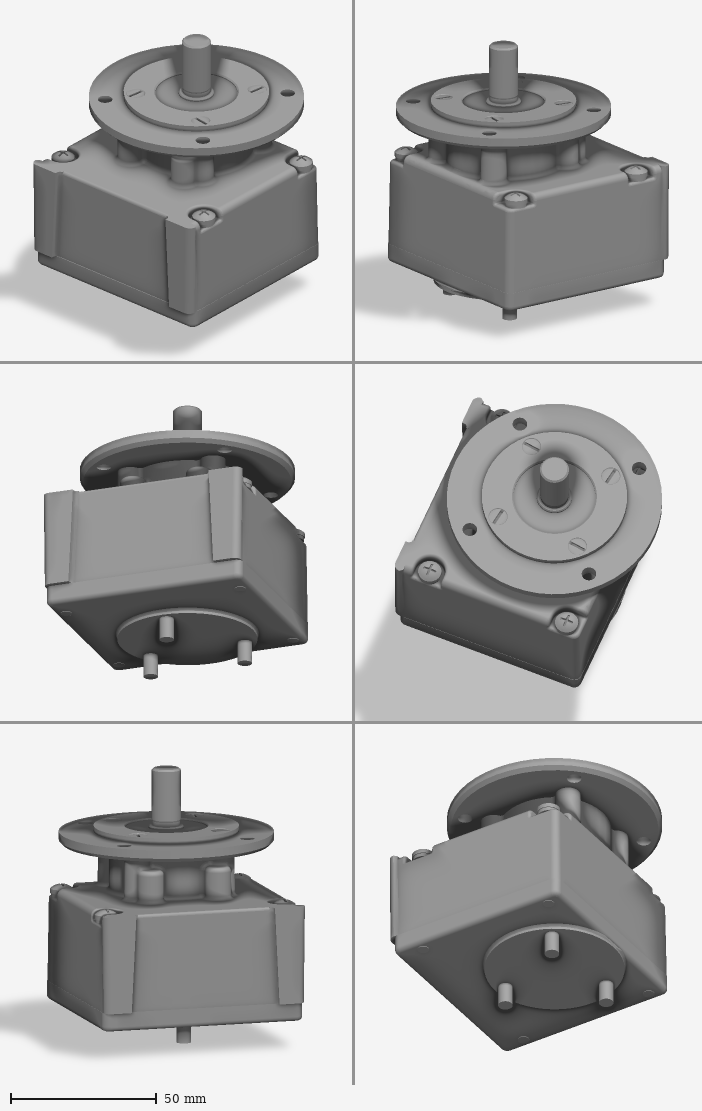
import cadquery as cq
import math

housing_height = 33.7
housing_rear_top = 23.4
housing_front = -42.85
housing_half_width_top = 35.5
parting_step = 0.1
top_round = 2.4
front_top_round = 1.0
corner_radius = 2.5

cover_half_width = 36.0
cover_rear = 24.05
cover_front = -43.1
cover_bottom = -40.3
cover_bottom_round = 1.6

foot_front = -45.0
foot_half_width_top = 36.4
foot_half_width_bottom = 36.0
foot_inner_top = 24.95
foot_inner_bottom = 26.6
foot_rear_top = -41.4
foot_rear_bottom = -40.1
foot_cove_radius = 1.3
foot_embed = 0.05

cover_screw_x = 32.0
cover_screw_rows = (-33.0, 18.0)
pocket_radius = 5.35
pocket_depth = 3.75
pocket_rim_round = 1.0
pocket_floor_round = 0.5
washer_radius = 3.7
washer_top_z = -2.5
pan_head_radius = 4.0
pan_head_rim_z = -1.0
pan_head_top_z = 0.6
cross_length = 4.6
cross_width = 0.8
cross_depth = 1.2
screw_tip_radius = 2.0
screw_tip_height = 0.2

plate_bottom = -42.1
plate_radius = 24.1
plate_root_radius = 24.7
plate_root_height = 0.9
pin_circle_radius = 20.0
pin_radius = 2.5
pin_bottom = -49.79
pin_angles = (30, 150, 270)

neck_core_radius = 19.55
neck_boss_circle_radius = 21.5
neck_boss_radius = 4.35
neck_draft = 0.2
neck_drafted_height = 15.8
neck_corner_round = 1.5
neck_root_round = 1.4
pad_x = 12.1
pad_y = -20.5
pad_radius = 4.5
pad_height = 11.1
pad_top_round = 1.6
pad_side_round = 1.3

flange_radius = 37.0
flange_bottom = 16.3
flange_seat = 20.5
flange_face = 22.5
flange_bevel = 1.3
pilot_radius = 25.0
bore_radius = 16.75
mounting_circle_radius = 31.4
mounting_hole_radius = 2.5

flange_screw_circle_radius = 20.9
slot_screw_head_radius = 3.1
slot_screw_shank_radius = 1.75
slot_screw_length = 12.0
slot_screw_sink = 0.2
slot_width = 1.1
slot_depth = 0.8
slot_tilt = -8.0

seal_recess_radius = 14.1
seal_recess_depth = 0.85
seal_recess_chamfer = 0.5
collar_radius = 6.1
collar_chamfer = 0.4
collar_top = 22.6
shaft_radius = 5.0
shaft_neck_radius = 4.8
shaft_neck_top = 24.1
shaft_neck_taper_top = 24.65
shaft_top = 42.5
shaft_chamfer = 0.6

diagonal_angles = (45, 135, 225, 315)
slot_reference_angle = 135
clear = 50.0
hair = 0.1


def polar(radius, angle):
    return (radius * math.cos(math.radians(angle)), radius * math.sin(math.radians(angle)))


def cylinder(radius, bottom, top, center=(0, 0)):
    return cq.Workplane("XY", origin=(*center, bottom)).circle(radius).extrude(top - bottom)


def cone(bottom_radius, top_radius, height, center=(0, 0), bottom=0):
    base = cq.Vector(*center, bottom)
    return cq.Workplane(obj=cq.Solid.makeCone(bottom_radius, top_radius, height, base))


def block(x0, x1, y0, y1, z0, z1):
    return cq.Workplane("XY").box(x1 - x0, y1 - y0, z1 - z0, centered=False).translate((x0, y0, z0))


def rectangle_wire(half_width, front, rear, z):
    corners = [(-half_width, front), (half_width, front), (half_width, rear), (-half_width, rear)]
    return cq.Wire.makePolygon([cq.Vector(x, y, z) for x, y in corners], close=True)


def make_housing():
    lower = rectangle_wire(
        cover_half_width - parting_step, housing_front, cover_rear - parting_step, -housing_height
    )
    upper = rectangle_wire(housing_half_width_top, housing_front, housing_rear_top, 0)
    housing = cq.Workplane(obj=cq.Solid.makeLoft([lower, upper], True))
    rear_corners = cq.selectors.BoxSelector((-clear, 0, -housing_height + 1), (clear, clear, -1))
    housing = housing.edges(rear_corners).edges("not(#Z)").fillet(corner_radius)
    side_and_rear = cq.selectors.BoxSelector((-clear, housing_front + 1, -hair), (clear, clear, hair))
    housing = housing.edges(side_and_rear).fillet(top_round)
    return housing.faces(">Z").edges("<Y").fillet(front_top_round)


def foot_wire(half_width, root_half_width, inner, rear, z):
    shoulder = foot_front + corner_radius
    arc_mid = corner_radius * (1 - math.sqrt(0.5))
    cove_start = housing_front - foot_cove_radius
    cove_mid = foot_cove_radius * (1 - math.sqrt(0.5))
    outline = (
        cq.Workplane("XY", origin=(0, 0, z))
        .moveTo(inner, foot_front)
        .lineTo(half_width - corner_radius, foot_front)
        .threePointArc((half_width - arc_mid, foot_front + arc_mid), (half_width, shoulder))
        .lineTo(root_half_width, rear)
        .lineTo(inner - foot_cove_radius, rear)
        .lineTo(inner - foot_cove_radius, housing_front)
        .threePointArc((inner - cove_mid, housing_front - cove_mid), (inner, cove_start))
        .close()
    )
    return outline.val()


def make_foot():
    lower_root = cover_half_width - parting_step - foot_embed
    upper_root = housing_half_width_top - foot_embed
    lower = foot_wire(
        foot_half_width_bottom, lower_root, foot_inner_bottom, foot_rear_bottom, -housing_height
    )
    upper = foot_wire(foot_half_width_top, upper_root, foot_inner_top, foot_rear_top, 0)
    return cq.Workplane(obj=cq.Solid.makeLoft([lower, upper], True))


def make_pocket(side, y):
    """Round pocket that runs out through the side wall and, at the rear, the rear wall."""
    x = side * cover_screw_x
    beyond = 2 * pocket_radius
    pocket = cylinder(pocket_radius, -pocket_depth, beyond, (x, y))
    outer_x = side * (cover_screw_x + beyond)
    pocket = pocket.union(
        block(min(x, outer_x), max(x, outer_x), y - pocket_radius, y + pocket_radius, -pocket_depth, beyond)
    )
    if y > 0:
        inner_x = side * (cover_screw_x - pocket_radius)
        pocket = pocket.union(
            block(min(inner_x, outer_x), max(inner_x, outer_x), y, y + beyond, -pocket_depth, beyond)
        )
    return pocket.faces("<Z").edges().fillet(pocket_floor_round)


def round_pocket_rim(body, side, y):
    """The round starts at the arc on the top face and runs on along the tangent straight rims."""
    x = side * cover_screw_x
    reach = pocket_radius + pocket_rim_round
    rim = cq.selectors.BoxSelector((x - reach, y - reach, -hair), (x + reach, y + reach, hair))
    return body.edges(rim).edges("%CIRCLE").fillet(pocket_rim_round)


def make_cover_screw(x, y):
    """Domed head with a cross recess, standing on the pocket floor."""
    dome_rise = pan_head_top_z - pan_head_rim_z
    sphere_radius = (pan_head_radius**2 + dome_rise**2) / (2 * dome_rise)
    head = cylinder(pan_head_radius, washer_top_z, pan_head_top_z, (x, y))
    sphere = cq.Workplane("XY", origin=(x, y, pan_head_top_z - sphere_radius)).sphere(sphere_radius)
    head = head.intersect(sphere)
    cross_floor = cq.Workplane("XY", origin=(x, y, pan_head_top_z - cross_depth))
    cross = cross_floor.rect(cross_length, cross_width).extrude(cross_depth)
    cross = cross.union(cross_floor.rect(cross_width, cross_length).extrude(cross_depth))
    washer = cylinder(washer_radius, -pocket_depth, washer_top_z, (x, y))
    return head.cut(cross).union(washer)


def make_neck():
    neck = cone(neck_core_radius + neck_draft, neck_core_radius, neck_drafted_height)
    for angle in diagonal_angles:
        center = polar(neck_boss_circle_radius, angle)
        boss = cone(neck_boss_radius + neck_draft, neck_boss_radius, neck_drafted_height, center)
        neck = neck.union(boss)
    upright = cq.selectors.BoxSelector((-clear, -clear, 1), (clear, clear, neck_drafted_height - 1))
    neck = neck.edges(upright).edges("not #Z").fillet(neck_corner_round)
    return neck.faces(">Z").wires().toPending().extrude(flange_bottom - neck_drafted_height)


def make_pad(side):
    center = (side * pad_x, pad_y)
    pad = cylinder(pad_radius, 0, pad_height, center)
    return pad.faces(">Z").edges().fillet(pad_top_round)


def make_cover():
    depth = cover_rear - cover_front
    cover = (
        cq.Workplane("XY", origin=(0, (cover_rear + cover_front) / 2, cover_bottom))
        .rect(2 * cover_half_width, depth)
        .extrude(-housing_height - cover_bottom)
        .edges("|Z").fillet(corner_radius)
        .faces("<Z").edges().fillet(cover_bottom_round)
    )
    for side in (-1, 1):
        for y in cover_screw_rows:
            tip = cylinder(screw_tip_radius, cover_bottom - screw_tip_height, -housing_height,
                           (side * cover_screw_x, y))
            cover = cover.union(tip)
    return cover


def make_plate_and_pins():
    plate = cylinder(plate_radius, plate_bottom, cover_bottom)
    root = cone(plate_radius, plate_root_radius, plate_root_height, bottom=cover_bottom - plate_root_height)
    plate = plate.union(root)
    plate = plate.intersect(block(-clear, clear, -clear, cover_rear, plate_bottom, cover_bottom))
    for angle in pin_angles:
        plate = plate.union(cylinder(pin_radius, pin_bottom, cover_bottom, polar(pin_circle_radius, angle)))
    return plate


def make_shaft_end():
    """Spigot in the flange bore with the seal recess, collar and output shaft."""
    recess_floor = flange_face - seal_recess_depth
    profile = [
        (0, flange_bottom),
        (bore_radius, flange_bottom),
        (bore_radius, flange_face),
        (seal_recess_radius + seal_recess_chamfer, flange_face),
        (seal_recess_radius, flange_face - seal_recess_chamfer),
        (seal_recess_radius, recess_floor),
        (collar_radius, recess_floor),
        (collar_radius, collar_top - collar_chamfer),
        (collar_radius - collar_chamfer, collar_top),
        (shaft_neck_radius, collar_top),
        (shaft_neck_radius, shaft_neck_top),
        (shaft_radius, shaft_neck_taper_top),
        (shaft_radius, shaft_top - shaft_chamfer),
        (shaft_radius - shaft_chamfer, shaft_top),
        (0, shaft_top),
    ]
    return cq.Workplane("XZ").polyline(profile).close().revolve(360, (0, 0), (0, 1))


def make_gearmotor():
    body = make_housing()
    foot = make_foot()
    body = body.union(foot).union(foot.mirror("YZ"))
    for side in (-1, 1):
        for y in cover_screw_rows:
            body = body.cut(make_pocket(side, y))
            body = round_pocket_rim(body, side, y)
    neck = make_neck()
    for side in (-1, 1):
        neck = neck.union(make_pad(side))
    pad_joints = cq.selectors.BoxSelector(
        (-pad_x - pad_radius, pad_y, 1), (pad_x + pad_radius, pad_y + pad_radius, pad_height + hair)
    )
    neck = neck.edges(pad_joints).fillet(pad_side_round)
    body = body.union(neck)
    root_reach = neck_boss_circle_radius + neck_boss_radius
    root = cq.selectors.BoxSelector((-root_reach, -root_reach, -hair), (root_reach, root_reach, hair))
    body = body.edges(root).edges("%CIRCLE or %ELLIPSE or %BSPLINE").fillet(neck_root_round)
    for side in (-1, 1):
        for y in cover_screw_rows:
            body = body.union(make_cover_screw(side * cover_screw_x, y))
    body = body.union(make_cover()).union(make_plate_and_pins()).union(make_shaft_end())
    for angle in diagonal_angles:
        body = body.cut(make_slot_screw_blank(angle, flange_face))
    return body


def make_flange():
    profile = [
        (bore_radius, flange_bottom),
        (flange_radius - flange_bevel, flange_bottom),
        (flange_radius, flange_bottom + flange_bevel),
        (flange_radius, flange_seat),
        (pilot_radius, flange_seat),
        (pilot_radius, flange_face),
        (bore_radius, flange_face),
    ]
    flange = cq.Workplane("XZ").polyline(profile).close().revolve(360, (0, 0), (0, 1))
    for angle in diagonal_angles:
        hole_center = polar(mounting_circle_radius, angle)
        flange = flange.cut(cylinder(mounting_hole_radius, flange_bottom, flange_seat, hole_center))
        flange = flange.cut(make_slot_screw_blank(angle, flange_face))
    return flange


def make_slot_screw_blank(angle, top):
    """Countersunk screw without its slot; its 45 degree head cone ends at height top."""
    head_top = flange_face - slot_screw_sink
    cone_base = head_top - (slot_screw_head_radius - slot_screw_shank_radius)
    shank_end = head_top - slot_screw_length
    profile = [
        (0, shank_end),
        (slot_screw_shank_radius, shank_end),
        (slot_screw_shank_radius, cone_base),
        (slot_screw_shank_radius + top - cone_base, top),
        (0, top),
    ]
    blank = cq.Workplane("XZ").polyline(profile).close().revolve(360, (0, 0), (0, 1))
    return blank.translate((*polar(flange_screw_circle_radius, angle), 0))


def make_slot_screw(angle):
    head_top = flange_face - slot_screw_sink
    slot = (
        cq.Workplane("XY")
        .box(2 * flange_radius, slot_width, slot_depth, centered=(True, True, False))
        .rotate((0, 0, 0), (0, 0, 1), slot_tilt + angle - slot_reference_angle)
        .translate((*polar(flange_screw_circle_radius, angle), head_top - slot_depth))
    )
    return make_slot_screw_blank(angle, head_top).cut(slot)


gearmotor = make_gearmotor()
flange = make_flange()
slot_screws = [make_slot_screw(angle) for angle in diagonal_angles]

result = cq.Compound.makeCompound(
    [gearmotor.val(), flange.val(), *[screw.val() for screw in slot_screws]]
)